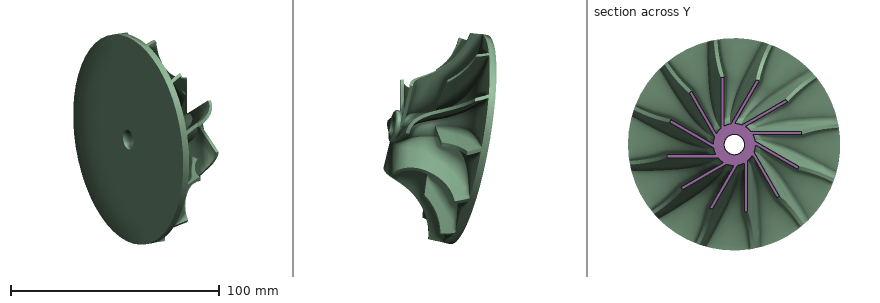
import cadquery as cq

TOTAL_HEIGHT = 38.1
DISC_RADIUS = 50.8
DISC_THICKNESS = 3.4
BORE_RADIUS = 4.8
HUB_NOSE_RADIUS = 7.9
HUB_NOSE_FILLET = 1.1

HUB_FLANK_TOP = 34.5
HUB_FLANK_POINTS = [(9.0, 23.4), (10.7, 17.8), (15.5, 11.5), (22.4, 6.9), (34.5, 4.2)]
HUB_FLANK_FOOT_RADIUS = 48.8

BLADE_PAIRS = 6
BLADE_THICKNESS = 1.6
INLET_HEIGHT = 35.9
SPLITTER_TOP = 19.3
BLADE_TIP_RADIUS = 50.7
BLADE_TIP_HEIGHT = 9.8
INLET_RADIUS = 25.0
SHROUD_MID = (30.2, 22.3)

CENTRE_LINE_POINTS = [
    (12.7, 2.0), (8.8, 9.8), (5.6, 19.1), (0.7, 30.3), (-1.8, 33.0), (-7.5, 35.1),
]
FACE_SAMPLES = 13
BLADE_ROOT_OFFSET = 1.0


def make_body():
    """Disc and hub turned in one profile about the Y axis."""
    profile = (
        cq.Workplane("XY")
        .lineTo(DISC_RADIUS, 0)
        .lineTo(DISC_RADIUS, DISC_THICKNESS)
        .lineTo(HUB_FLANK_FOOT_RADIUS, DISC_THICKNESS)
        .spline(
            HUB_FLANK_POINTS[::-1] + [(HUB_NOSE_RADIUS, HUB_FLANK_TOP)],
            tangents=[(-1, 0), (0, 1)],
            includeCurrent=True,
        )
        .lineTo(HUB_NOSE_RADIUS, TOTAL_HEIGHT)
        .lineTo(0, TOTAL_HEIGHT)
        .close()
    )
    body = profile.revolve(360, (0, 0, 0), (0, 1, 0))
    return body.faces(">Y").edges().fillet(HUB_NOSE_FILLET)


def make_shroud_envelope():
    """Solid of revolution that bounds the blade tips."""
    return (
        cq.Workplane("XY")
        .lineTo(BLADE_TIP_RADIUS, 0)
        .lineTo(BLADE_TIP_RADIUS, BLADE_TIP_HEIGHT)
        .threePointArc(SHROUD_MID, (INLET_RADIUS, INLET_HEIGHT))
        .lineTo(INLET_RADIUS, TOTAL_HEIGHT)
        .lineTo(0, TOTAL_HEIGHT)
        .close()
        .revolve(360, (0, 0, 0), (0, 1, 0))
    )


def make_blade_blank():
    """Untrimmed blade with both faces half a thickness from the centre line."""
    centre_line = cq.Edge.makeSpline([cq.Vector(x, y) for x, y in CENTRE_LINE_POINTS])
    left_face = []
    right_face = []
    for i in range(FACE_SAMPLES):
        along = i / (FACE_SAMPLES - 1)
        point = centre_line.positionAt(along)
        tangent = centre_line.tangentAt(along)
        offset = cq.Vector(-tangent.y, tangent.x) * (BLADE_THICKNESS / 2)
        left_face.append((point + offset).toTuple()[:2])
        right_face.append((point - offset).toTuple()[:2])
    inlet_x = CENTRE_LINE_POINTS[-1][0]
    left_face[-1] = (inlet_x, left_face[-1][1])
    right_face[-1] = (inlet_x, right_face[-1][1])
    return (
        cq.Workplane("XY", origin=(0, 0, BLADE_ROOT_OFFSET))
        .moveTo(*left_face[0])
        .spline(left_face[1:], includeCurrent=True)
        .lineTo(*right_face[-1])
        .spline(right_face[-2::-1], includeCurrent=True)
        .close()
        .extrude(DISC_RADIUS)
    )


blade_blank = make_blade_blank()
full_blade = blade_blank.intersect(make_shroud_envelope())
splitter_zone = cq.Workplane("XZ").circle(DISC_RADIUS).extrude(-SPLITTER_TOP)
splitter_blade = full_blade.intersect(splitter_zone)

pair_pitch = 360 / BLADE_PAIRS
wheel = make_body()
for i in range(BLADE_PAIRS):
    angle = i * pair_pitch
    wheel = wheel.union(full_blade.rotate((0, 0, 0), (0, 1, 0), angle))
    wheel = wheel.union(splitter_blade.rotate((0, 0, 0), (0, 1, 0), angle + pair_pitch / 2))

bore = cq.Workplane("XZ").circle(BORE_RADIUS).extrude(-TOTAL_HEIGHT)
result = wheel.cut(bore)